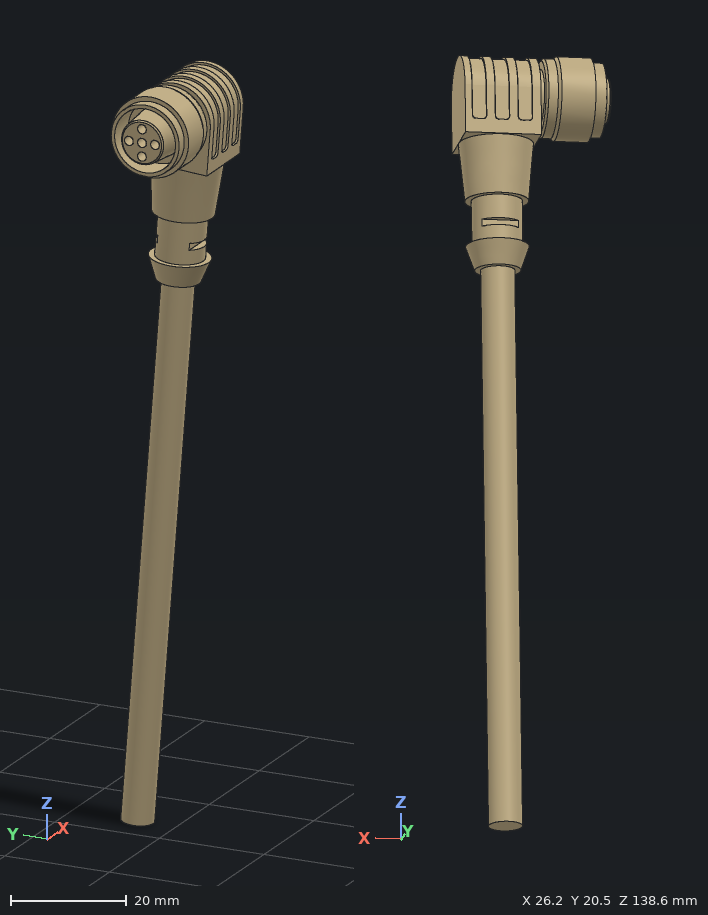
import cadquery as cq
import math

OVERALL_HEIGHT = 138.6
CABLE_TILT = 4.45
TILT = math.radians(CABLE_TILT)

INSERT_FRONT_X = -19.7
COLLAR_FRONT_X = -18.5
NUT_FRONT_X = -16.4
NUT_BACK_X = -10.4
GRIP_FRONT_X = -9.8
GRIP_BACK_X = -7.8
INSERT_FRONT_RADIUS = 4.0
INSERT_BASE_RADIUS = 4.6
INSERT_CHAMFER = 0.3
COLLAR_RADIUS = 6.5
NUT_RADIUS = 7.3
GRIP_RADIUS = 6.9
GRIP_CHAMFER = 0.4
NECK_RADIUS = 5.0
SOCKET_RADIUS = 5.8
SOCKET_DEPTH = 5.5

CONTACT_RADIUS = 0.8
CONTACT_CIRCLE_RADIUS = 2.5
OUTER_CONTACT_COUNT = 4
CONTACT_DEPTH = 2.8

BODY_FRONT_X = -6.8
BODY_BACK_X = 6.5
BODY_RADIUS = 6.9
BODY_BOTTOM = 8.6
GROOVE_COUNT = 3
GROOVE_PITCH = 4.0
GROOVE_WIDTH = 2.5
GROOVE_DEPTH = 0.4
GROOVE_BOTTOM = 6.1
GROOVE_CORNER_RADIUS = 0.7

BOOT_TOP_RADIUS = 6.5
BOOT_END_RADIUS = 5.5
BOOT_END = 18.8
SLEEVE_RADIUS = 4.5
FLARE_TOP = 27.0
FLARE_TOP_RADIUS = 5.5
FLARE_END = 31.3
FLARE_END_RADIUS = 4.0
CABLE_DIAMETER = 6.0
CABLE_RADIUS = CABLE_DIAMETER / 2
NOTCH_CENTER = 23.7
NOTCH_HEIGHT = 1.2
NOTCH_DEPTH = 1.4
CABLE_END = (OVERALL_HEIGHT - NUT_RADIUS - CABLE_RADIUS * math.sin(TILT)) / math.cos(TILT)


def make_plug():
    """Insert, collar, nut, grip and neck, turned about the X axis."""
    socket_floor_x = COLLAR_FRONT_X + SOCKET_DEPTH
    profile = [
        (INSERT_FRONT_X, 0),
        (INSERT_FRONT_X, INSERT_FRONT_RADIUS - INSERT_CHAMFER),
        (INSERT_FRONT_X + INSERT_CHAMFER, INSERT_FRONT_RADIUS),
        (socket_floor_x, INSERT_BASE_RADIUS),
        (socket_floor_x, SOCKET_RADIUS),
        (COLLAR_FRONT_X, SOCKET_RADIUS),
        (COLLAR_FRONT_X, COLLAR_RADIUS),
        (NUT_FRONT_X, COLLAR_RADIUS),
        (NUT_FRONT_X, NUT_RADIUS),
        (NUT_BACK_X, NUT_RADIUS),
        (GRIP_FRONT_X, GRIP_RADIUS),
        (GRIP_BACK_X - GRIP_CHAMFER, GRIP_RADIUS),
        (GRIP_BACK_X, GRIP_RADIUS - GRIP_CHAMFER),
        (GRIP_BACK_X, NECK_RADIUS),
        (0, NECK_RADIUS),
        (0, 0),
    ]
    return cq.Workplane("XY").polyline(profile).close().revolve(360, (0, 0, 0), (1, 0, 0))


def make_contact_holes():
    """One contact in the middle and four around it, bored from the insert face."""
    face = cq.Workplane("YZ", origin=(INSERT_FRONT_X, 0, 0))
    centers = face.polarArray(CONTACT_CIRCLE_RADIUS, 0, 360, OUTER_CONTACT_COUNT)
    ring = centers.circle(CONTACT_RADIUS).extrude(CONTACT_DEPTH)
    return ring.union(face.circle(CONTACT_RADIUS).extrude(CONTACT_DEPTH))


def make_body_section(inset, front_x, back_x):
    """Arch-shaped prism along X, its arch and sides set in from the body surface."""
    radius = BODY_RADIUS - inset
    return (
        cq.Workplane("YZ", origin=(front_x, 0, 0))
        .moveTo(-radius, -BODY_BOTTOM)
        .lineTo(-radius, 0)
        .threePointArc((0, radius), (radius, 0))
        .lineTo(radius, -BODY_BOTTOM)
        .close()
        .extrude(back_x - front_x)
    )


def make_body():
    """Elbow body with grooves over the arch that end in rounded slots on both sides."""
    body = make_body_section(0, BODY_FRONT_X, BODY_BACK_X)
    core = make_body_section(GROOVE_DEPTH, BODY_FRONT_X, BODY_BACK_X)
    for index in range(GROOVE_COUNT):
        center_x = (index - (GROOVE_COUNT - 1) / 2) * GROOVE_PITCH
        groove = (
            cq.Workplane("XY", origin=(center_x, 0, -GROOVE_BOTTOM))
            .rect(GROOVE_WIDTH, 3 * BODY_RADIUS)
            .extrude(GROOVE_BOTTOM + 2 * BODY_RADIUS)
            .edges("|Y and <Z")
            .fillet(GROOVE_CORNER_RADIUS)
            .cut(core)
        )
        body = body.cut(groove)
    return body


def make_boot_and_cable():
    """Tapered boot, sleeve, flared end and cable, turned about the cable axis."""
    profile = [
        (0, -BODY_BOTTOM),
        (BOOT_TOP_RADIUS, -BODY_BOTTOM),
        (BOOT_END_RADIUS, -BOOT_END),
        (SLEEVE_RADIUS, -BOOT_END),
        (SLEEVE_RADIUS, -FLARE_TOP),
        (FLARE_TOP_RADIUS, -FLARE_TOP),
        (FLARE_END_RADIUS, -FLARE_END),
        (CABLE_RADIUS, -FLARE_END),
        (CABLE_RADIUS, -CABLE_END),
        (0, -CABLE_END),
    ]
    cable = cq.Workplane("XZ").polyline(profile).close().revolve(360, (0, 0, 0), (0, 1, 0))
    for side in (-1, 1):
        notch = cq.Workplane("XY").box(2 * SLEEVE_RADIUS, 2 * NOTCH_DEPTH, NOTCH_HEIGHT)
        cable = cable.cut(notch.translate((0, side * SLEEVE_RADIUS, -NOTCH_CENTER)))
    return cable


tilted_parts = make_body().union(make_boot_and_cable()).rotate((0, 0, 0), (1, 0, 0), CABLE_TILT)
result = tilted_parts.union(make_plug()).cut(make_contact_holes())